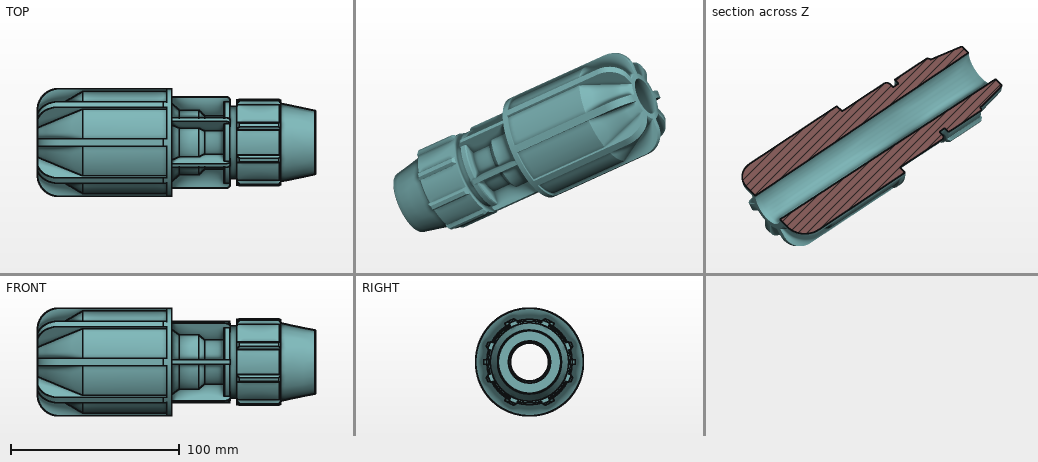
import cadquery as cq


total_length = 165.0
bore_nose_d = 22.5
bore_tail_d = 25.0

barrel_r = 30.4
nose_r = 29.35 / 2
nose_length = 27.0
fin_count = 8
fin_width = 4.5
fin_r = 31.97
fin_corner_r = 12.8
fin_flat_end = 74.7
collar_d = 64.0
collar_start = 76.7
collar_end = 79.7

neck_root_r = 23.1
neck_large_r = 19.25
neck_small_r = 15.9
neck_large_start = 84.1
neck_large_end = 95.7
neck_small_start = 99.1

flange_start = 110.4
flange_end = 114.1
flange_r = 24.2
flange_taper_length = 0.8
flange_taper_drop = 0.3
shank_r = 43.2 / 2
plate_count = 6
plate_thickness = 2.5
plate_r = 27.1
plate_end = 114.4
plate_corner_r = 2.5

nut_start = 118.3
nut_end = 144.4
nut_r = 25.3
nut_chamfer = 1.0
tail_start_r = 23.2
tail_end_r = 19.0
tail_edge_chamfer = 0.5
grip_count = 8
grip_r = 27.2
grip_top_width = 2.4
grip_base_width = 4.9
grip_lead_length = 1.5
grip_lead_drop = 1.4
grip_tail_chamfer = 1.2


def cylinder(x_start, x_end, radius):
    """Solid cylinder along X."""
    return cq.Workplane("YZ").workplane(offset=x_start).circle(radius).extrude(x_end - x_start)


def around_axis(feature, count, first_angle=0.0):
    """Copies of a feature spread evenly about the X axis."""
    copies = cq.Workplane("XY")
    for i in range(count):
        angle = first_angle + i * 360.0 / count
        copies = copies.add(feature.rotate((0, 0, 0), (1, 0, 0), angle))
    return copies.combine()


def make_core():
    """Turned body: nose cone, barrel, collar blank, stepped neck, flange, shank, nut and tail."""
    return (
        cq.Workplane("XY")
        .moveTo(0, 0)
        .lineTo(0, nose_r)
        .lineTo(nose_length, barrel_r)
        .lineTo(fin_flat_end, barrel_r)
        .lineTo(fin_flat_end, collar_d / 2)
        .lineTo(collar_end, collar_d / 2)
        .lineTo(collar_end, neck_root_r)
        .lineTo(neck_large_start, neck_large_r)
        .lineTo(neck_large_end, neck_large_r)
        .lineTo(neck_small_start, neck_small_r)
        .lineTo(flange_start, neck_small_r)
        .lineTo(flange_start, flange_r - flange_taper_drop)
        .lineTo(flange_start + flange_taper_length, flange_r)
        .lineTo(flange_end, flange_r)
        .lineTo(flange_end, shank_r)
        .lineTo(nut_start, shank_r)
        .lineTo(nut_start, nut_r)
        .lineTo(nut_end - nut_chamfer, nut_r)
        .lineTo(nut_end, nut_r - nut_chamfer)
        .lineTo(nut_end, tail_start_r)
        .lineTo(total_length - tail_edge_chamfer, tail_end_r)
        .lineTo(total_length, tail_end_r - tail_edge_chamfer)
        .lineTo(total_length, 0)
        .close()
        .revolve(360, (0, 0, 0), (1, 0, 0))
    )


def make_fins():
    """Flat-topped barrel fins with rounded noses."""
    blade = (
        cq.Workplane("XZ")
        .moveTo(0, 0)
        .lineTo(0, fin_r - fin_corner_r)
        .radiusArc((fin_corner_r, fin_r), fin_corner_r)
        .lineTo(fin_flat_end, fin_r)
        .lineTo(fin_flat_end, 0)
        .close()
        .extrude(fin_width / 2, both=True)
    )
    return around_axis(blade, fin_count)


def make_collar_gaps():
    """Pockets between the fins that separate the barrel from the collar."""
    gap_length = collar_start - fin_flat_end
    ring = cylinder(fin_flat_end, collar_start, collar_d).cut(
        cylinder(fin_flat_end, collar_start, barrel_r)
    )
    stub = (
        cq.Workplane("XY")
        .box(gap_length, fin_width, 2 * collar_d, centered=(False, True, False))
        .translate((fin_flat_end, 0, 0))
    )
    return ring.cut(around_axis(stub, fin_count))


def make_bore():
    """Through bore that widens evenly from the nose to the tail."""
    return (
        cq.Workplane("XY")
        .moveTo(0, 0)
        .lineTo(0, bore_nose_d / 2)
        .lineTo(total_length, bore_tail_d / 2)
        .lineTo(total_length, 0)
        .close()
        .revolve(360, (0, 0, 0), (1, 0, 0))
    )


def make_plates():
    """Radial plates from the collar to the flange, the first one lying along +Y."""
    plate = (
        cq.Workplane("XY")
        .moveTo(collar_end, 0)
        .lineTo(collar_end, plate_r)
        .lineTo(plate_end - plate_corner_r, plate_r)
        .radiusArc((plate_end, plate_r - plate_corner_r), plate_corner_r)
        .lineTo(plate_end, 0)
        .close()
        .extrude(plate_thickness / 2, both=True)
    )
    return around_axis(plate, plate_count)


def make_grips():
    """Tapered ribs along the nut, sloped at the lead end and chamfered at the tail end."""
    section = (
        cq.Workplane("YZ")
        .workplane(offset=nut_start)
        .moveTo(-grip_base_width / 2, 0)
        .lineTo(-grip_base_width / 2, nut_r)
        .lineTo(-grip_top_width / 2, grip_r)
        .lineTo(grip_top_width / 2, grip_r)
        .lineTo(grip_base_width / 2, nut_r)
        .lineTo(grip_base_width / 2, 0)
        .close()
        .extrude(nut_end - nut_start)
    )
    side_outline = (
        cq.Workplane("XZ")
        .moveTo(nut_start, 0)
        .lineTo(nut_start, grip_r - grip_lead_drop)
        .lineTo(nut_start + grip_lead_length, grip_r)
        .lineTo(nut_end - grip_tail_chamfer, grip_r)
        .lineTo(nut_end, grip_r - grip_tail_chamfer)
        .lineTo(nut_end, 0)
        .close()
        .extrude(grip_base_width, both=True)
    )
    half_pitch = 360.0 / grip_count / 2
    return around_axis(section.intersect(side_outline), grip_count, half_pitch)


result = (
    make_core()
    .cut(make_collar_gaps())
    .union(make_fins())
    .union(make_plates())
    .union(make_grips())
    .cut(make_bore())
)